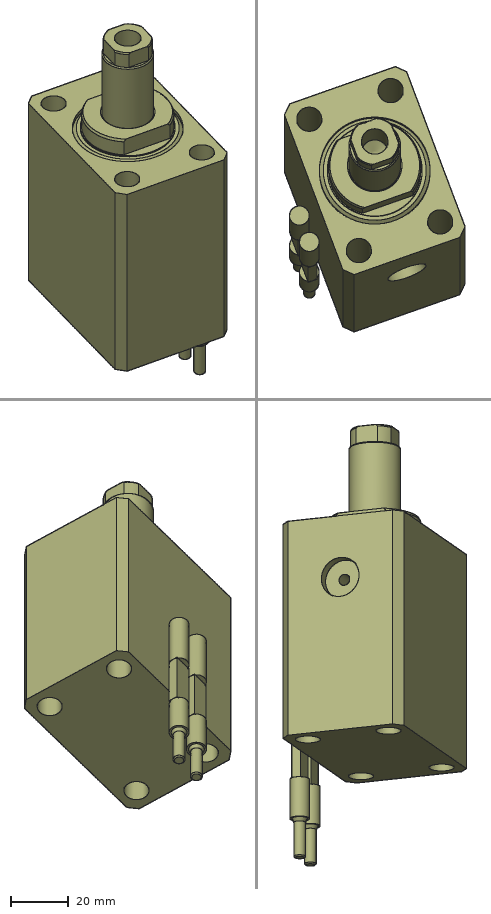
import cadquery as cq
import math


HOUSING_LENGTH = 65.0
HOUSING_WIDTH = 45.0
HOUSING_HEIGHT = 76.9
HOUSING_CORNER_CHAMFER = 3.0
BOLT_HOLE_DIAMETER = 8.7
BOLT_SPACING_X = 50.0
BOLT_SPACING_Y = 30.0

PORT_Z = -22.0
PORT_SEAT_DIAMETER = 14.0
PORT_SEAT_DEPTH = 4.0
PORT_HOLE_DIAMETER = 4.0

GLAND_BUSH_DIAMETER = 38.3
GLAND_BUSH_DEPTH = 10.0
GLAND_BUSH_CHAMFER = 1.4
GLAND_STEP_DIAMETER = 32.8
GLAND_STEP_HEIGHT = 0.5
COLLAR_DIAMETER = 31.9
COLLAR_TOP_Z = 7.0
COLLAR_ACROSS_FLATS = 26.0
COLLAR_CHAMFER_WIDTH = 0.5
COLLAR_CHAMFER_HEIGHT = 0.9
GLAND_BORE_CHAMFER = 0.5

ROD_DIAMETER = 18.0
ROD_BOTTOM_Z = -30.4
ROD_SHOULDER_Z = 32.8
ROD_SHOULDER_CHAMFER = 0.5
ROD_TOP_Z = 39.0
ROD_HEAD_DIAMETER = 17.0
ROD_HEAD_ACROSS_FLATS = 15.0
ROD_HEAD_CHAMFER_WIDTH = 0.3
ROD_HEAD_CHAMFER_HEIGHT = 0.6
ROD_HOLE_DIAMETER = 9.1
ROD_HOLE_DEPTH = 15.0
DRILL_POINT_ANGLE = 118.0

SENSOR_DIAMETER = 6.8
SENSOR_SPACING = 10.0
SWITCH_TOP_ABOVE_BASE = 32.2
SWITCH_LENGTH = 20.4
CABLE_LENGTH = 19.8
CABLE_THICKNESS = 3.3
PLUG_LENGTH = 14.1
NECK_DIAMETER = 5.5
NECK_LENGTH = 1.4
PIN_DIAMETER = 4.1
PIN_END_BELOW_BASE = 36.0
PIN_CHAMFER = 0.5

HOUSING_BASE_Z = -HOUSING_HEIGHT


def drilled_hole(diameter, depth):
    """Cutter along -Z from the origin: a round hole with a conical bottom."""
    radius = diameter / 2
    point_depth = radius / math.tan(math.radians(DRILL_POINT_ANGLE / 2))
    return (
        cq.Workplane("XZ")
        .polyline([(0, 0), (radius, 0), (radius, -depth), (0, -depth - point_depth)])
        .close()
        .revolve(360, (0, 0, 0), (0, 1, 0))
    )


def make_housing():
    block = (
        cq.Workplane("XY")
        .rect(HOUSING_LENGTH, HOUSING_WIDTH)
        .extrude(-HOUSING_HEIGHT)
        .edges("|Z")
        .chamfer(HOUSING_CORNER_CHAMFER)
    )
    bolt_holes = (
        cq.Workplane("XY")
        .rect(BOLT_SPACING_X, BOLT_SPACING_Y, forConstruction=True)
        .vertices()
        .circle(BOLT_HOLE_DIAMETER / 2)
        .extrude(-HOUSING_HEIGHT)
    )
    gland_seat = cq.Workplane("XY").circle(GLAND_BUSH_DIAMETER / 2).extrude(-GLAND_BUSH_DEPTH)
    rod_bore = cq.Workplane("XY").circle(ROD_DIAMETER / 2).extrude(ROD_BOTTOM_Z)
    return block.cut(bolt_holes).cut(gland_seat).cut(rod_bore).cut(make_port_cutter())


def make_port_cutter():
    """Round seat in the -X side, with a hole in its middle that runs in to the rod bore."""
    seat = cq.Workplane("XY").circle(PORT_SEAT_DIAMETER / 2).extrude(-PORT_SEAT_DEPTH)
    hole = cq.Workplane("XY").circle(PORT_HOLE_DIAMETER / 2).extrude(-HOUSING_LENGTH / 2)
    return seat.union(hole).rotate((0, 0, 0), (0, 1, 0), -90).translate((-HOUSING_LENGTH / 2, 0, PORT_Z))


def make_gland():
    bush = (
        cq.Workplane("XY")
        .circle(GLAND_BUSH_DIAMETER / 2)
        .extrude(-GLAND_BUSH_DEPTH)
        .faces(">Z")
        .edges()
        .chamfer(GLAND_BUSH_CHAMFER)
    )
    step = cq.Workplane("XY").circle(GLAND_STEP_DIAMETER / 2).extrude(GLAND_STEP_HEIGHT)
    flats = cq.Workplane("XY").rect(COLLAR_ACROSS_FLATS, COLLAR_DIAMETER).extrude(COLLAR_TOP_Z)
    collar = (
        cq.Workplane("XY")
        .circle(COLLAR_DIAMETER / 2)
        .extrude(COLLAR_TOP_Z)
        .faces(">Z")
        .edges()
        .chamfer(COLLAR_CHAMFER_HEIGHT, COLLAR_CHAMFER_WIDTH)
        .intersect(flats)
    )
    bore = (
        cq.Workplane("XY", origin=(0, 0, -GLAND_BUSH_DEPTH))
        .circle(ROD_DIAMETER / 2)
        .extrude(GLAND_BUSH_DEPTH + COLLAR_TOP_Z)
    )
    gland = bush.union(step).union(collar).cut(bore)
    bore_rim = cq.selectors.RadiusNthSelector(0)
    return gland.faces(">Z").edges(bore_rim).chamfer(GLAND_BORE_CHAMFER)


def make_rod():
    shaft = (
        cq.Workplane("XY", origin=(0, 0, ROD_BOTTOM_Z))
        .circle(ROD_DIAMETER / 2)
        .extrude(ROD_SHOULDER_Z - ROD_BOTTOM_Z)
        .faces(">Z")
        .edges()
        .chamfer(ROD_SHOULDER_CHAMFER)
    )
    head_height = ROD_TOP_Z - ROD_SHOULDER_Z
    shoulder = cq.Workplane("XY", origin=(0, 0, ROD_SHOULDER_Z))
    wrench_square = shoulder.rect(ROD_HEAD_ACROSS_FLATS, ROD_HEAD_ACROSS_FLATS).extrude(head_height)
    head = (
        shoulder.circle(ROD_HEAD_DIAMETER / 2)
        .extrude(head_height)
        .faces(">Z")
        .edges()
        .chamfer(ROD_HEAD_CHAMFER_HEIGHT, ROD_HEAD_CHAMFER_WIDTH)
        .intersect(wrench_square)
    )
    hole = drilled_hole(ROD_HOLE_DIAMETER, ROD_HOLE_DEPTH).translate((0, 0, ROD_TOP_Z))
    return shaft.union(head).cut(hole)


def make_sensor(x):
    """Sensor standing at the given X, its barrels touching the +Y side of the housing."""
    y = (HOUSING_WIDTH + SENSOR_DIAMETER) / 2
    switch_top = HOUSING_BASE_Z + SWITCH_TOP_ABOVE_BASE
    switch_bottom = switch_top - SWITCH_LENGTH
    plug_top = switch_bottom - CABLE_LENGTH
    plug_bottom = plug_top - PLUG_LENGTH
    pin_top = plug_bottom - NECK_LENGTH
    pin_length = pin_top - HOUSING_BASE_Z + PIN_END_BELOW_BASE

    def level(z):
        return cq.Workplane("XY", origin=(x, y, z))

    switch = level(switch_top).circle(SENSOR_DIAMETER / 2).extrude(-SWITCH_LENGTH)
    cable = level(switch_bottom).rect(SENSOR_DIAMETER, CABLE_THICKNESS).extrude(-CABLE_LENGTH)
    plug = level(plug_top).circle(SENSOR_DIAMETER / 2).extrude(-PLUG_LENGTH)
    neck = (
        level(plug_bottom)
        .circle(NECK_DIAMETER / 2)
        .workplane(offset=-NECK_LENGTH)
        .circle(PIN_DIAMETER / 2)
        .loft(combine=True)
    )
    pin = (
        level(pin_top)
        .circle(PIN_DIAMETER / 2)
        .extrude(-pin_length)
        .faces("<Z")
        .edges()
        .chamfer(PIN_CHAMFER)
    )
    return switch.union(cable).union(plug).union(neck).union(pin)


housing = make_housing()
gland = make_gland()
rod = make_rod()
sensors = [make_sensor(side * SENSOR_SPACING / 2) for side in (-1, 1)]

result = cq.Compound.makeCompound(
    [housing.val(), gland.val(), rod.val(), *[sensor.val() for sensor in sensors]]
)